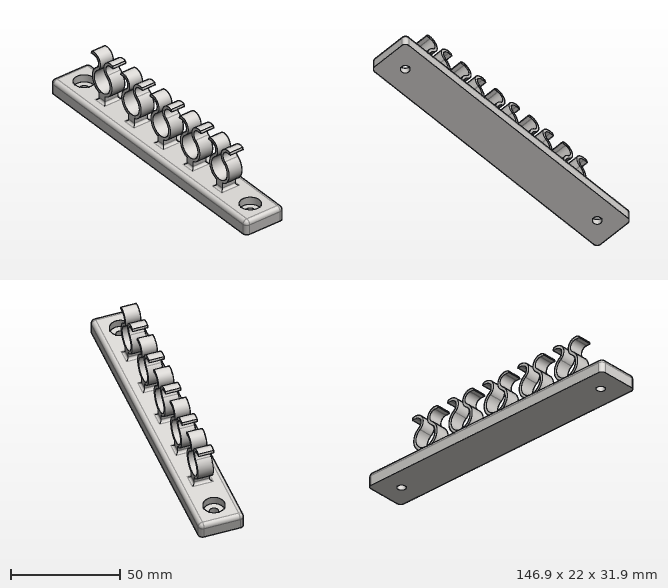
import cadquery as cq
import math

base_length = 146.9
base_width = 22.0
base_height = 7.5
base_radius = 2.2

hole_spacing = 124.8
hole_diameter = 4.4
counterbore_diameter = 10.3
counterbore_depth = 4.0

clip_count = 5
clip_pitch = 22.0
clip_width = 7.5
wall = 1.5
ring_inner_radius = 5.9
hook_outer_radius = 4.7
mouth_gap = 2.6
tip_top_reach = 7.8
tip_bottom_reach = 8.2
overall_height = 31.9

stem_width = 4.4
stem_fillet = 1.3

ring_outer_radius = ring_inner_radius + wall
hook_inner_radius = hook_outer_radius - wall
hook_x = mouth_gap / 2 + hook_outer_radius
hook_z = overall_height - hook_outer_radius
ring_z = hook_z - math.sqrt((ring_inner_radius + hook_outer_radius) ** 2 - hook_x**2)
join_angle = math.atan2(hook_z - ring_z, hook_x)
tip_angle = math.acos((tip_top_reach - hook_x) / hook_outer_radius)


def polar(center_x, center_z, radius, angle):
    """Point on a circle in the XZ plane."""
    return center_x + radius * math.cos(angle), center_z + radius * math.sin(angle)


def mirrored(point):
    """Point reflected to the opposite side of the clip."""
    return -point[0], point[1]


def extrude_clip_width(sketch):
    """Extrude an XZ sketch to the clip width, centred on Y = 0."""
    return sketch.extrude(clip_width / 2, both=True)


def make_base():
    """Bar with rounded upright and top edges."""
    bar = cq.Workplane("XY").box(base_length, base_width, base_height, centered=(True, True, False))
    return bar.edges("|Z or >Z").fillet(base_radius)


def make_clip():
    """Open ring whose two ends curl outward into hooks."""

    def ring_point(radius, angle):
        return polar(0, ring_z, radius, angle)

    def hook_point(radius, angle):
        return polar(hook_x, hook_z, radius, angle)

    hook_start = join_angle + math.pi
    hook_middle = (hook_start + tip_angle) / 2
    crown_angle = math.pi / 2
    inner_join = ring_point(ring_inner_radius, join_angle)
    outer_join = ring_point(ring_outer_radius, join_angle)
    inner_bottom = ring_point(ring_inner_radius, -math.pi / 2)
    outer_bottom = ring_point(ring_outer_radius, -math.pi / 2)
    throat = hook_point(hook_outer_radius, hook_middle)
    tip_outside = hook_point(hook_outer_radius, tip_angle)
    hook_crown = hook_point(hook_inner_radius, crown_angle)
    tip_inside = (tip_bottom_reach, hook_crown[1])
    hook_inside = hook_point(hook_inner_radius, hook_middle)

    outline = (
        cq.Workplane("XZ")
        .moveTo(*tip_outside)
        .threePointArc(throat, inner_join)
        .threePointArc(inner_bottom, mirrored(inner_join))
        .threePointArc(mirrored(throat), mirrored(tip_outside))
        .lineTo(*mirrored(tip_inside))
        .lineTo(*mirrored(hook_crown))
        .threePointArc(mirrored(hook_inside), mirrored(outer_join))
        .threePointArc(outer_bottom, outer_join)
        .threePointArc(hook_inside, hook_crown)
        .lineTo(*tip_inside)
        .close()
    )
    return extrude_clip_width(outline)


def make_stem():
    """Post from the base top into the underside of the ring."""
    half_width = stem_width / 2
    side_top = ring_z - math.sqrt(ring_outer_radius**2 - half_width**2)
    wall_middle = ring_z - ring_inner_radius - wall / 2
    outline = (
        cq.Workplane("XZ")
        .moveTo(-half_width, base_height)
        .lineTo(half_width, base_height)
        .lineTo(half_width, side_top)
        .lineTo(0, wall_middle)
        .lineTo(-half_width, side_top)
        .close()
    )
    return extrude_clip_width(outline)


def flare_stems(body):
    """Fillet the concave edges where the stems meet the base top."""
    half_row = clip_count * clip_pitch / 2
    stem_roots = cq.selectors.BoxSelector(
        (-half_row, -clip_width, base_height - stem_fillet / 2),
        (half_row, clip_width, base_height + stem_fillet / 2),
    )
    return body.edges(stem_roots).fillet(stem_fillet)


def cut_screw_holes(body):
    """Counterbored through holes sunk from the base top."""
    return (
        body.copyWorkplane(cq.Workplane("XY", origin=(0, 0, base_height)))
        .pushPoints([(-hole_spacing / 2, 0), (hole_spacing / 2, 0)])
        .cboreHole(hole_diameter, counterbore_diameter, counterbore_depth)
    )


first_clip_x = -(clip_count - 1) * clip_pitch / 2
clip_offsets = [(first_clip_x + i * clip_pitch, 0, 0) for i in range(clip_count)]

result = make_base()
for offset in clip_offsets:
    result = result.union(make_stem().translate(offset))
result = flare_stems(result)
for offset in clip_offsets:
    result = result.union(make_clip().translate(offset))
result = cut_screw_holes(result)